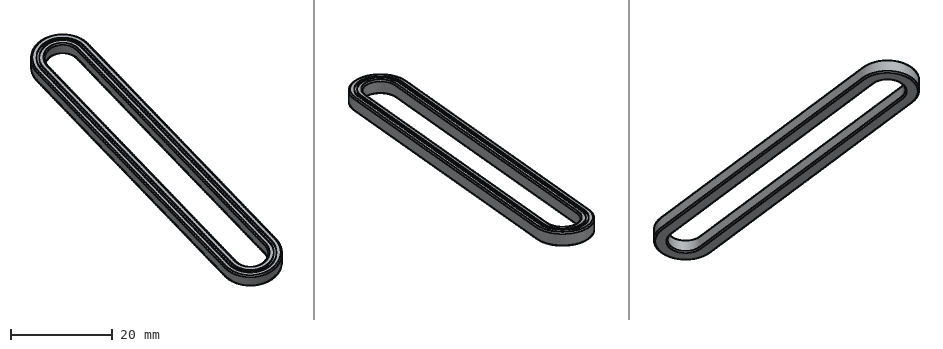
import cadquery as cq

length = 75.0
width = 12.5
height = 3.125

band_width = 2.75
edge_chamfer = 0.3
groove_width = 0.55
groove_depth = 0.2

groove_inset = (band_width - groove_width) / 2


def stadium(inset, depth, base_z):
    """Solid with a round-ended outline, set in from the outer edge by inset."""
    return (
        cq.Workplane("XY")
        .workplane(offset=base_z)
        .slot2D(length - 2 * inset, width - 2 * inset)
        .extrude(depth)
    )


def stadium_ring(inset, wall, depth, base_z):
    """Closed band of constant wall width following the round-ended outline."""
    return stadium(inset, depth, base_z).cut(stadium(inset + wall, depth, base_z))


band = stadium_ring(0, band_width, height, 0)
band = band.faces("<Z or >Z").edges().chamfer(edge_chamfer)

groove = stadium_ring(groove_inset, groove_width, groove_depth, height - groove_depth)

result = band.cut(groove)